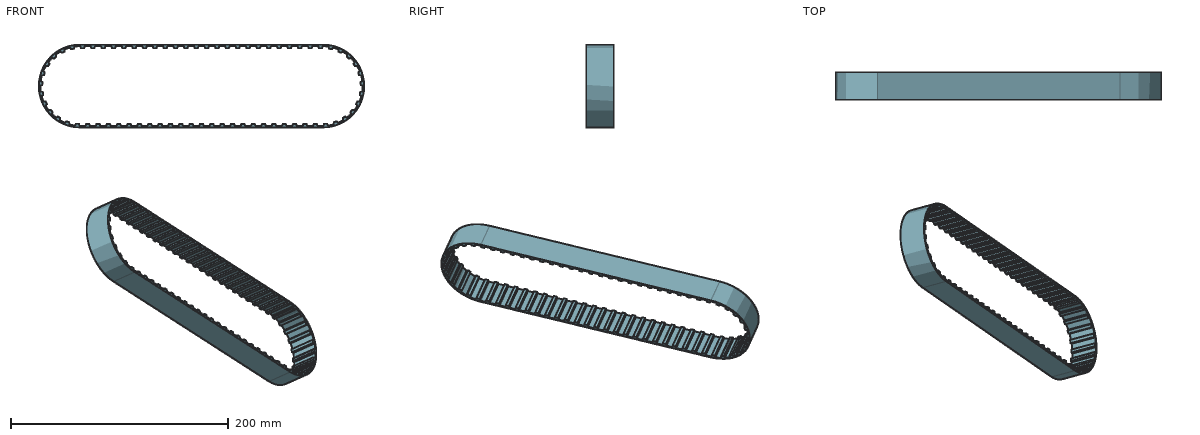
import cadquery as cq
import math

length = 299.5
height = 76.3
width = 25.5

back_thickness = 1.68
tooth_height = 1.8
tooth_root_width = 4.2
flank_angle = 20.0
tooth_count = 71

outer_radius = height / 2
inner_radius = outer_radius - back_thickness
straight = length - height
half_turn = math.pi * inner_radius
tooth_pitch = 2 * (straight + half_turn) / tooth_count


def slab(radius):
    """Solid with rounded ends, centred on the origin and lying along X."""
    return (
        cq.Workplane("XZ")
        .slot2D(straight + 2 * radius, 2 * radius)
        .extrude(width / 2, both=True)
    )


def tooth():
    """Tooth on the middle of the lower run, pointing up into the loop."""
    tooth_tip_width = tooth_root_width - 2 * tooth_height * math.tan(math.radians(flank_angle))
    half_root = tooth_root_width / 2
    half_tip = tooth_tip_width / 2
    embedded = -outer_radius + back_thickness / 2
    root = -inner_radius
    tip = root + tooth_height
    return (
        cq.Workplane("XZ")
        .polyline([
            (-half_root, embedded),
            (half_root, embedded),
            (half_root, root),
            (half_tip, tip),
            (-half_tip, tip),
            (-half_root, root),
        ])
        .close()
        .extrude(width / 2, both=True)
        .val()
    )


def placed_on_belt(shape, travel):
    """Carry a shape from the middle of the lower run along the belt, towards +X first."""
    side = 1 if travel >= 0 else -1
    distance = abs(travel)
    on_turn = min(max(distance - straight / 2, 0), half_turn)
    on_upper_run = max(distance - straight / 2 - half_turn, 0)
    centre_x = side * (min(distance, straight / 2) - on_upper_run)
    turn_angle = side * math.degrees(on_turn / inner_radius)
    turned = shape.rotate(cq.Vector(0, 0, 0), cq.Vector(0, -1, 0), turn_angle)
    return turned.translate(cq.Vector(centre_x, 0, 0))


back = slab(outer_radius).cut(slab(inner_radius))

teeth_each_way = tooth_count // 2
base_tooth = tooth()
teeth = [
    placed_on_belt(base_tooth, index * tooth_pitch)
    for index in range(-teeth_each_way, teeth_each_way + 1)
]

result = cq.Workplane("XY").newObject([back.val().fuse(*teeth).clean()])